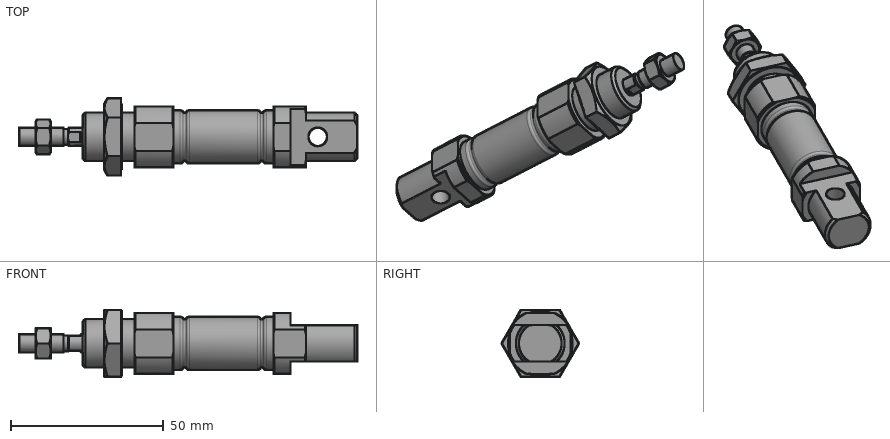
import cadquery as cq
import math


rod_diameter = 6.0
neck_diameter = 5.2
neck_start = 14.5
neck_length = 1.5
neck_cone_length = 0.4
rod_flats_width = 5.0
rod_flats_end = 20.0
rod_end = 20.8
lock_nut_width = 10.0
lock_nut_face_diameter = 9.8
lock_nut_start = 5.4
lock_nut_thickness = 5.0

thread_diameter = 16.0
thread_chamfer = 0.95
mounting_nut_width = 22.0
mounting_nut_start = 27.8
mounting_nut_face_diameter = 21.2
mounting_nut_hex_length = 5.7
mounting_nut_collar_length = 0.3

cap_diameter = 22.0
cap_face_diameter = 21.0
cap_width = 20.0
cap_chamfer_length = 0.35
front_cap_start = 37.8
front_cap_length = 12.8
front_cap_end = front_cap_start + front_cap_length
tube_diameter = 17.5
tube_length = 32.8
rear_cap_start = front_cap_end + tube_length
rear_cap_length = 10.7

groove_depth = 0.85
groove_lip_width = 1.0
groove_valley_width = 1.0
groove_inset = 3.75

overall_length = 111.0
eye_thickness = 12.0
rear_collar_length = 5.7
eye_flats_start = rear_cap_start + rear_collar_length
eye_chamfer = 1.0
pivot_hole_diameter = 6.0
pivot_hole_position = 98.0

nut_chamfer_angle = math.radians(30)


def rod_along_x(start, end, diameter):
    """Round bar on the X axis."""
    return cq.Workplane("YZ", origin=(start, 0, 0)).circle(diameter / 2).extrude(end - start)


def turned(outline):
    """Solid of revolution about X from (x, radius) points; both ends close on the axis."""
    points = [(outline[0][0], 0), *outline, (outline[-1][0], 0)]
    return cq.Workplane("XY").polyline(points).close().revolve(360, (0, 0, 0), (1, 0, 0))


def hex_nut(start, thickness, width, face_diameter, chamfer_rear):
    """Hexagon with flats facing +Z and -Z and its corners turned down at 30 degrees."""
    corner_radius = width / 2 / math.cos(math.pi / 6)
    face_radius = face_diameter / 2
    chamfer_length = (corner_radius - face_radius) * math.tan(nut_chamfer_angle)
    end = start + thickness
    hexagon = cq.Workplane("YZ", origin=(start, 0, 0)).polygon(6, 2 * corner_radius).extrude(thickness)
    outline = [(start, face_radius), (start + chamfer_length, corner_radius)]
    if chamfer_rear:
        outline += [(end - chamfer_length, corner_radius), (end, face_radius)]
    else:
        outline += [(end, corner_radius)]
    return hexagon.intersect(turned(outline))


def end_cap(start, length):
    """Chamfered round cap with four wrench flats."""
    end = start + length
    barrel = turned([
        (start, cap_face_diameter / 2),
        (start + cap_chamfer_length, cap_diameter / 2),
        (end - cap_chamfer_length, cap_diameter / 2),
        (end, cap_face_diameter / 2),
    ])
    flats = cq.Workplane("YZ", origin=(start, 0, 0)).rect(cap_width, cap_width).extrude(length)
    return barrel.intersect(flats)


def crimp_groove(center):
    """Ring cutter whose two convex lips run tangentially into a concave valley."""
    surface = tube_diameter / 2
    bottom = surface - groove_depth
    half_valley = groove_valley_width / 2
    half_groove = half_valley + groove_lip_width
    wall_angle = 2 * math.atan(groove_depth / half_groove)
    lip_radius = groove_lip_width / math.sin(wall_angle)
    junction = surface - lip_radius * (1 - math.cos(wall_angle))
    lip_mid_x = half_groove - lip_radius * math.sin(wall_angle / 2)
    lip_mid_r = surface - lip_radius * (1 - math.cos(wall_angle / 2))
    return (
        cq.Workplane("XY")
        .moveTo(center - half_groove, surface)
        .threePointArc((center - lip_mid_x, lip_mid_r), (center - half_valley, junction))
        .threePointArc((center, bottom), (center + half_valley, junction))
        .threePointArc((center + lip_mid_x, lip_mid_r), (center + half_groove, surface))
        .close()
        .revolve(360, (0, 0, 0), (1, 0, 0))
    )


def rod_flat_cutter(side):
    """Cutter for one wrench flat, running out of the rod at 45 degrees; side is +1 or -1."""
    flat = rod_flats_width / 2
    surface = rod_diameter / 2
    neck_end = neck_start + neck_length
    outline = [
        (neck_end, flat),
        (rod_flats_end, flat),
        (rod_flats_end + surface - flat, surface),
        (neck_end, surface),
    ]
    mirrored = [(x, side * z) for x, z in outline]
    return cq.Workplane("XZ").polyline(mirrored).close().extrude(surface, both=True)


def make_piston_rod():
    neck_end = neck_start + neck_length
    rod = turned([
        (0, rod_diameter / 2),
        (neck_start, rod_diameter / 2),
        (neck_start, neck_diameter / 2),
        (neck_end, neck_diameter / 2),
        (neck_end + neck_cone_length, rod_diameter / 2),
        (rod_end, rod_diameter / 2),
    ])
    for side in (1, -1):
        rod = rod.cut(rod_flat_cutter(side))
    lock_nut = hex_nut(lock_nut_start, lock_nut_thickness, lock_nut_width, lock_nut_face_diameter, True)
    return rod.union(lock_nut)


def make_mounting_nut():
    hex_end = mounting_nut_start + mounting_nut_hex_length
    collar_end = hex_end + mounting_nut_collar_length
    collar = rod_along_x(hex_end, collar_end, mounting_nut_face_diameter)
    hexagon = hex_nut(
        mounting_nut_start,
        mounting_nut_hex_length,
        mounting_nut_width,
        mounting_nut_face_diameter,
        False,
    )
    return hexagon.union(collar)


def make_rear_end():
    """Rear cap and pivot eye, thinned by one pair of flats and cross-drilled along Z."""
    eye = rod_along_x(rear_cap_start, overall_length, thread_diameter).faces(">X").chamfer(eye_chamfer)
    rear = end_cap(rear_cap_start, rear_cap_length).union(eye)
    flats_length = overall_length - eye_flats_start
    for side in (1, -1):
        slab = cq.Workplane("XY").box(flats_length, cap_diameter, cap_diameter)
        slab_z = side * (eye_thickness + cap_diameter) / 2
        rear = rear.cut(slab.translate((eye_flats_start + flats_length / 2, 0, slab_z)))
    pivot_hole = (
        cq.Workplane("XY")
        .center(pivot_hole_position, 0)
        .circle(pivot_hole_diameter / 2)
        .extrude(eye_thickness, both=True)
    )
    return rear.cut(pivot_hole)


def make_housing():
    thread = rod_along_x(rod_end, front_cap_start, thread_diameter).faces("<X").chamfer(thread_chamfer)
    tube = rod_along_x(front_cap_end, rear_cap_start, tube_diameter)
    for center in (front_cap_end + groove_inset, rear_cap_start - groove_inset):
        tube = tube.cut(crimp_groove(center))
    front_cap = end_cap(front_cap_start, front_cap_length)
    return thread.union(make_mounting_nut()).union(front_cap).union(tube).union(make_rear_end())


piston_rod = make_piston_rod()
housing = make_housing()

result = cq.Compound.makeCompound([piston_rod.val(), housing.val()])